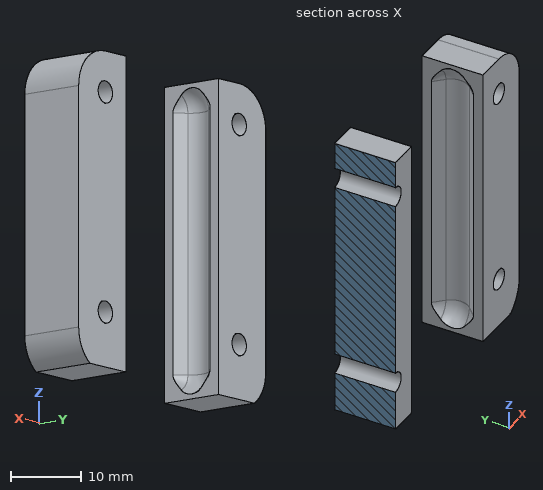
import cadquery as cq
import math

overall_width = 42.0
depth = 10.0
height = 46.0

rail_width = 10.63
corner_radius = 6.0
lower_arc_height = 4.88

hole_diameter = 3.2
lower_hole_height = 8.0

groove_radius = 2.7
flank_depth = 1.5
end_axis_setback = 1.1
groove_end_inset = 3.95

outer_x = overall_width / 2
inner_x = outer_x - rail_width
hole_x = outer_x - corner_radius
upper_arc_height = height - corner_radius
end_axis_x = inner_x - end_axis_setback


def rail_block():
    """Rail with a full rounded upper corner and a lower corner arc cut short by the base."""
    diagonal = corner_radius * math.sqrt(0.5)
    base_angle = math.asin(lower_arc_height / corner_radius)
    half_angle = base_angle / 2
    base_x = hole_x + corner_radius * math.cos(base_angle)
    lower_middle = (
        hole_x + corner_radius * math.cos(half_angle),
        lower_arc_height - corner_radius * math.sin(half_angle),
    )
    return (
        cq.Workplane("XZ", origin=(0, depth / 2, 0))
        .moveTo(inner_x, 0)
        .lineTo(base_x, 0)
        .threePointArc(lower_middle, (outer_x, lower_arc_height))
        .lineTo(outer_x, upper_arc_height)
        .threePointArc((hole_x + diagonal, upper_arc_height + diagonal), (hole_x, height))
        .lineTo(inner_x, height)
        .close()
        .extrude(depth)
    )


def screw_holes():
    """Two through holes, the upper one concentric with the rounded corner."""
    return (
        cq.Workplane("XZ", origin=(0, depth / 2, 0))
        .pushPoints([(hole_x, lower_hole_height), (hole_x, upper_arc_height)])
        .circle(hole_diameter / 2)
        .extrude(depth)
    )


def groove_profile(section_height):
    """Groove section with its flanks carried on past the inner face to the end axis."""
    diagonal = groove_radius * math.sqrt(0.5)
    flank_run = flank_depth + end_axis_setback
    bottom = flank_run + groove_radius - diagonal
    outer_half_width = diagonal + flank_run
    return (
        cq.Workplane("XY", origin=(end_axis_x, 0, section_height))
        .moveTo(0, -outer_half_width)
        .lineTo(flank_run, -diagonal)
        .threePointArc((bottom, 0), (flank_run, diagonal))
        .lineTo(0, outer_half_width)
        .close()
    )


def groove():
    """Straight groove, each end the same section turned about an axis along Y."""
    upper_end = height - groove_end_inset
    cutter = groove_profile(groove_end_inset).extrude(upper_end - groove_end_inset)
    for end_height in (groove_end_inset, upper_end):
        cutter = cutter.union(groove_profile(end_height).revolve(360, (0, 0, 0), (0, 1, 0)))
    return cutter


def make_rail():
    return rail_block().cut(screw_holes()).cut(groove())


rails = []
for is_mirrored in (False, True):
    rail = make_rail()
    if is_mirrored:
        rail = rail.mirror("YZ")
    rails.append(rail.val())

result = cq.Compound.makeCompound(rails)